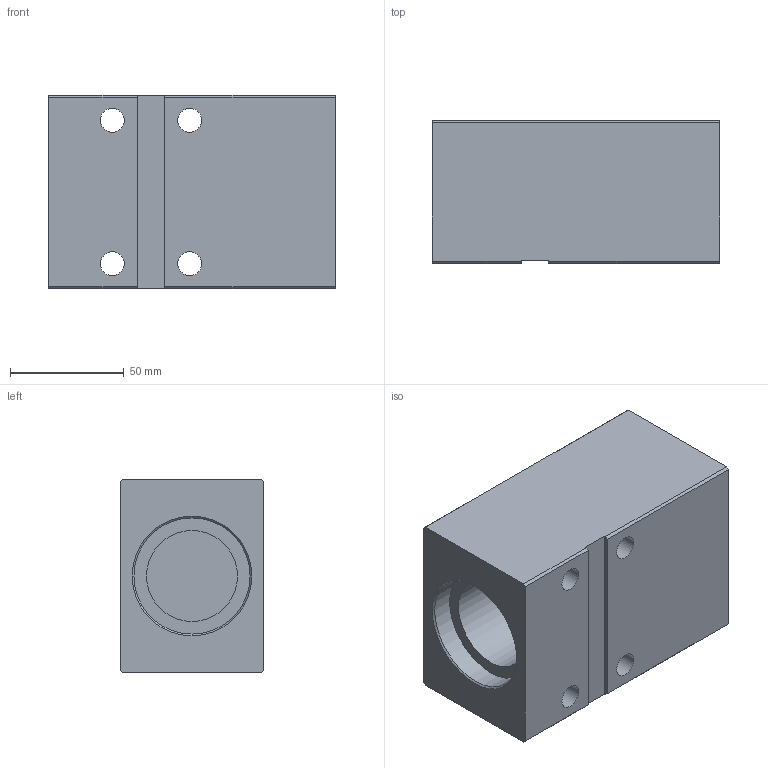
import cadquery as cq

length = 126.0
depth = 63.0
height = 85.0
edge_chamfer = 1.0

bore_diameter = 40.0
bore_end_wall = 20.0
counterbore_diameter = 51.0
counterbore_depth = 10.0
mouth_chamfer = 0.75

groove_start = 39.0
groove_width = 12.0
groove_depth = 1.5

hole_diameter = 10.5
hole_columns = (28.0, 62.0)
hole_row_spacing = 63.0


def make_block():
    """Rectangular block with its four long edges chamfered."""
    block = cq.Workplane("XY").box(length, depth, height, centered=False)
    return block.edges("|X").chamfer(edge_chamfer)


def make_bore():
    """Bore, counterbore and tapered mouth, revolved about the bore axis."""
    bore_radius = bore_diameter / 2
    counterbore_radius = counterbore_diameter / 2
    bore_bottom = length - bore_end_wall
    profile = (
        cq.Workplane("XY")
        .moveTo(0, 0)
        .lineTo(0, counterbore_radius + mouth_chamfer)
        .lineTo(mouth_chamfer, counterbore_radius)
        .lineTo(counterbore_depth, counterbore_radius)
        .lineTo(counterbore_depth, bore_radius)
        .lineTo(bore_bottom, bore_radius)
        .lineTo(bore_bottom, 0)
        .close()
    )
    bore = profile.revolve(360, (0, 0, 0), (1, 0, 0))
    return bore.translate((0, depth / 2, height / 2))


def make_groove():
    """Shallow rectangular key groove over the full height."""
    groove = cq.Workplane("XY").box(groove_width, groove_depth, height, centered=False)
    return groove.translate((groove_start, 0, 0))


def make_mounting_holes():
    """Two columns of two through holes, symmetric about mid-height."""
    lower_row = (height - hole_row_spacing) / 2
    rows = (lower_row, lower_row + hole_row_spacing)
    centers = [(x, z) for x in hole_columns for z in rows]
    holes = cq.Workplane("XZ").pushPoints(centers).circle(hole_diameter / 2)
    return holes.extrude(-depth)


result = make_block().cut(make_bore()).cut(make_groove()).cut(make_mounting_holes())